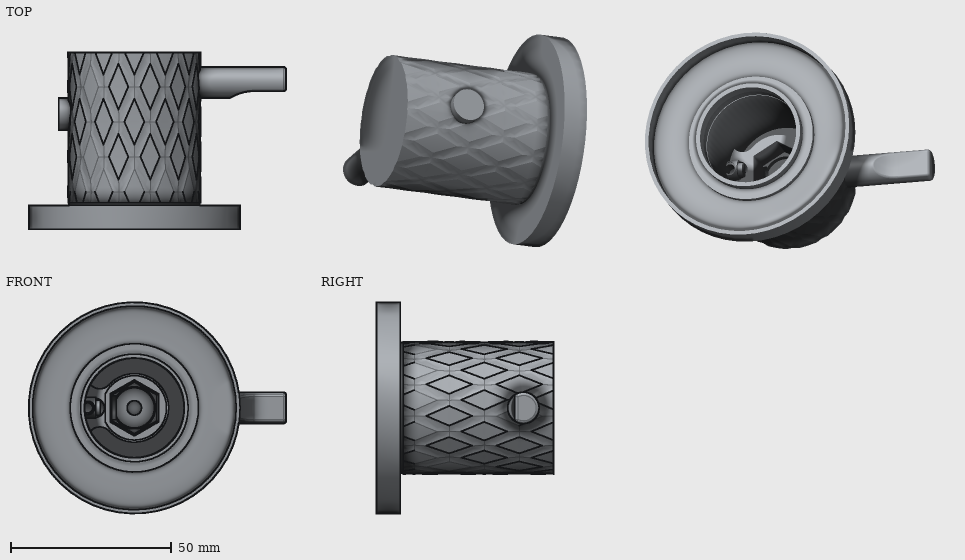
import cadquery as cq
import math


overall_length = 80.35

flange_radius = 66.0 / 2
flange_height = 7.5
flange_wall = 1.2
flange_floor = 6.4

bushing_radius = 16.8
bushing_shoulder_radius = 20.0
bushing_start = 1.3
bushing_shoulder_start = 4.5
bushing_end = 9.6
bushing_groove_start = 5.55
bushing_groove_depth = 0.2
bore_radius = 31.0 / 2

knob_end = 55.2
knurl_radius = 20.7
knurl_start = 8.35
neck_radius = 20.4
cavity_floor = 44.2
hub_face = 35.9
hub_radius = 10.7
web_half_width = 5.95
web_scallop_radius = 3.85

diamond_count = 13
half_pitch_angle = math.pi / diamond_count
diamond_half_angle = 0.15
row_pitch = 10.9
top_row = 44.5
first_row = -1
last_row = 4
valley_floor_shares = (0.25, 0.5, 0.75)
diamond_half_height = 7.15
valley_depth = 0.4

insert_radius = 10.05
insert_flat = 9.0
insert_end = 51.4
socket_width = 15.1
socket_floor_width = 14.0
socket_depth = 9.65
insert_bore_radius = 6.6
insert_bore_floor_radius = 12.5 / 2
insert_bore_depth = 1.6
insert_hole_diameter = 4.5
insert_hole_depth = 2.4
side_pocket_radius = 3.8
side_pocket_end = 5.7

button_outer_face = 23.6
button_head_diameter = 10.1
button_hole_diameter = 10.2
button_head_inner = 16.55
button_shank_diameter = 6.5
button_shank_inner = 12.05
button_tip_diameter = 4.7
button_tip_inner = 10.6
cross_hole_diameter = 3.1
cross_hole_mouth = 4.2
cross_hole_mouth_depth = 1.05
cross_hole_offset = 14.55
seat_radius = 6.0 / 2
seat_center = 12.4

lever_diameter = 9.8
lever_height = 45.8
lever_inner = 17.7
lever_end = overall_length - flange_radius
lever_flat_depth = 2.2
lever_flat_start = 37.3
lever_scoop_start = 29.8
lever_flat_fillet = 0.8
lever_end_fillet = 1.0


def disc(radius, start, end):
    """Round bar on the Y axis between two heights."""
    return cq.Workplane("XZ", origin=(0, start, 0)).circle(radius).extrude(start - end)


def side_bar(diameter, start_x, end_x, height):
    """Round bar parallel to the X axis at the given Y height."""
    return cq.Workplane("YZ", origin=(start_x, height, 0)).circle(diameter / 2).extrude(end_x - start_x)


def make_flange():
    body = disc(flange_radius, 0, flange_height)
    body = body.cut(disc(flange_radius - flange_wall, 0, flange_floor))
    return body.cut(disc(bushing_radius, 0, flange_height))


def make_bushing():
    body = disc(bushing_radius, bushing_start, bushing_end)
    body = body.union(disc(bushing_shoulder_radius, bushing_shoulder_start, flange_floor))
    body = body.cut(disc(bore_radius, bushing_start, bushing_end))
    return body.cut(disc(bore_radius + bushing_groove_depth, bushing_groove_start, bushing_end))


def knurl_point(row, column, radius, angle_shift=0, height_shift=0):
    """Point near the crossing of a knurl row and column, angles measured from +Z."""
    angle = column * half_pitch_angle + angle_shift
    height = top_row - row * row_pitch + height_shift
    return cq.Vector(radius * math.sin(angle), height, radius * math.cos(angle))


def diamond_corners(row, column):
    """Left, top, right and bottom corner of a diamond."""
    return (
        knurl_point(row, column, knurl_radius, angle_shift=-diamond_half_angle),
        knurl_point(row, column, knurl_radius, height_shift=diamond_half_height),
        knurl_point(row, column, knurl_radius, angle_shift=diamond_half_angle),
        knurl_point(row, column, knurl_radius, height_shift=-diamond_half_height),
    )


def valley_node(row, column):
    return knurl_point(row, column, knurl_radius - valley_depth)


def diamond_face(row, column):
    left, top, right, bottom = diamond_corners(row, column)
    return cq.Face.makeRuledSurface(cq.Edge.makeLine(left, top), cq.Edge.makeLine(bottom, right))


def patch(points, inner_points):
    """Smooth face bounded by straight edges through the points and passing the inner points."""
    edges = [cq.Edge.makeLine(a, b) for a, b in zip(points, points[1:] + points[:1])]
    return cq.Face.makeNSidedSurface(edges, inner_points)


def valley_face(row, column, side):
    """Valley from the diamond down to the diamond in the next row, on side -1 or +1."""
    left, _, right, bottom = diamond_corners(row, column)
    low_left, low_top, low_right, _ = diamond_corners(row + 1, column + side)
    near_corner, far_corner = (right, low_left) if side > 0 else (left, low_right)
    upper_node = valley_node(row, column + side)
    lower_node = valley_node(row + 1, column)
    floor_points = [
        valley_node(row + share, column + side * (1 - share)) for share in valley_floor_shares
    ]
    return patch([bottom, near_corner, upper_node, low_top, far_corner, lower_node], floor_points)


def end_cap(row, column, outward):
    """Fan of triangles from an end diamond to a point on the axis beyond it."""
    left, top, right, bottom = diamond_corners(row, column)
    tip = top if outward > 0 else bottom
    rim = [valley_node(row, column - 1), left, tip, right, valley_node(row, column + 1)]
    apex = cq.Vector(0, tip.y + outward * knurl_radius, 0)
    return [
        cq.Face.makeFromWires(cq.Wire.makePolygon([a, b, apex], close=True))
        for a, b in zip(rim, rim[1:])
    ]


def make_knurled_blank():
    """Closed shell of diamonds and valleys, trimmed to the length of the knurl."""
    faces = []
    for row in range(first_row, last_row + 1):
        for index in range(diamond_count):
            column = 2 * index + (row + 1) % 2
            faces.append(diamond_face(row, column))
            if row < last_row:
                faces.append(valley_face(row, column, -1))
                faces.append(valley_face(row, column, 1))
            if row == first_row:
                faces.extend(end_cap(row, column, 1))
            if row == last_row:
                faces.extend(end_cap(row, column, -1))
    shell = cq.Shell.makeShell(faces)
    blank = cq.Workplane(cq.Solid.makeSolid(shell))
    return blank.intersect(disc(2 * knurl_radius, knurl_start, knob_end))


def make_hub():
    """Hub and a web to the wall, each web side one scallop that is tangent to the hub."""
    depth = cavity_floor - hub_face
    scallop_z = web_half_width + web_scallop_radius
    scallop_x = -math.sqrt((hub_radius + web_scallop_radius) ** 2 - scallop_z**2)
    plane = cq.Workplane("XZ", origin=(0, hub_face, 0))
    web = plane.polyline([
        (0, 0), (scallop_x, scallop_z), (-bore_radius, scallop_z),
        (-bore_radius, -scallop_z), (scallop_x, -scallop_z),
    ]).close().extrude(-depth)
    scallops = (
        plane.pushPoints([(scallop_x, scallop_z), (scallop_x, -scallop_z)])
        .circle(web_scallop_radius)
        .extrude(-depth)
    )
    return disc(hub_radius, hub_face, cavity_floor).union(web.cut(scallops))


def make_knob():
    body = make_knurled_blank()
    body = body.union(disc(neck_radius, flange_height, knurl_start))
    body = body.cut(disc(bore_radius, flange_height, cavity_floor))
    body = body.cut(disc(bushing_radius, flange_height, bushing_end))
    body = body.union(make_hub())
    body = body.cut(make_insert_blank())
    body = body.cut(side_bar(lever_diameter, lever_inner, 2 * knurl_radius, lever_height))
    return cut_button_hole(body)


def cut_button_hole(body):
    body = body.cut(side_bar(button_hole_diameter, -2 * knurl_radius, -button_head_inner, hub_face))
    body = body.cut(side_bar(button_shank_diameter, -button_head_inner, -button_shank_inner, hub_face))
    seat = disc(seat_radius, hub_face - seat_radius, hub_face + seat_radius).translate((-seat_center, 0, 0))
    seat = seat.intersect(
        side_bar(2 * seat_radius, -seat_center - seat_radius, -seat_center + seat_radius, hub_face)
    )
    return body.cut(seat)


def make_insert_blank():
    blank = disc(insert_radius, hub_face, insert_end)
    size = 4 * insert_radius
    keep = cq.Workplane("XY").box(size, size, size).translate((size / 2 - insert_flat, insert_end, 0))
    return blank.intersect(keep)


def make_insert():
    corner_factor = 2 / math.sqrt(3)
    ledge = hub_face + socket_depth
    bore_floor = ledge + insert_bore_depth
    socket_taper = math.degrees(math.atan2(socket_width - socket_floor_width, 2 * socket_depth))
    socket = (
        cq.Workplane("XZ", origin=(0, hub_face, 0))
        .transformed(rotate=(0, 0, 30))
        .polygon(6, socket_width * corner_factor)
        .extrude(-socket_depth, taper=socket_taper)
    )
    bore = (
        cq.Workplane("XZ", origin=(0, ledge, 0)).circle(insert_bore_radius)
        .workplane(offset=-insert_bore_depth).circle(insert_bore_floor_radius)
        .loft(ruled=True)
    )
    pocket = side_bar(2 * side_pocket_radius, -socket_floor_width / 2, -side_pocket_end, ledge)
    hole = disc(insert_hole_diameter / 2, bore_floor, bore_floor + insert_hole_depth)
    return make_insert_blank().cut(socket).cut(bore).cut(pocket).cut(hole)


def make_button():
    body = side_bar(button_head_diameter, -button_outer_face, -button_head_inner, hub_face)
    body = body.union(side_bar(button_shank_diameter, -button_head_inner, -button_shank_inner, hub_face))
    body = body.union(side_bar(button_tip_diameter, -button_shank_inner, -button_tip_inner, hub_face))
    shank_radius = button_shank_diameter / 2
    hole = disc(cross_hole_diameter / 2, hub_face - shank_radius, hub_face + shank_radius)
    mouth = disc(
        cross_hole_mouth / 2, hub_face - shank_radius, hub_face - shank_radius + cross_hole_mouth_depth
    )
    return body.cut(hole.union(mouth).translate((-cross_hole_offset, 0, 0)))


def make_lever():
    body = side_bar(lever_diameter, lever_inner, lever_end, lever_height)
    bottom = lever_height - lever_diameter / 2
    flat = bottom + lever_flat_depth
    run = lever_flat_start - lever_scoop_start
    radius = (run**2 + lever_flat_depth**2) / (2 * lever_flat_depth)
    half_turn = math.asin(run / radius) / 2
    middle = (lever_flat_start - radius * math.sin(half_turn), flat - radius * (1 - math.cos(half_turn)))
    scoop = (
        cq.Workplane("XY", origin=(0, 0, -lever_diameter))
        .moveTo(lever_scoop_start, bottom)
        .threePointArc(middle, (lever_flat_start, flat))
        .lineTo(2 * lever_end, flat)
        .lineTo(2 * lever_end, bottom)
        .close()
        .extrude(2 * lever_diameter)
    )
    body = body.cut(scoop)
    flat_side = cq.selectors.BoxSelector(
        (lever_scoop_start, bottom, -lever_diameter), (lever_end - lever_end_fillet, lever_height, lever_diameter)
    )
    body = body.edges(flat_side).edges("not |Z").fillet(lever_flat_fillet)
    return body.faces(">X").edges().fillet(lever_end_fillet)


flange = make_flange()
bushing = make_bushing()
knob = make_knob()
insert = make_insert()
button = make_button()
lever = make_lever()

result = cq.Compound.makeCompound([
    flange.val(), bushing.val(), knob.val(), insert.val(), button.val(), lever.val(),
])